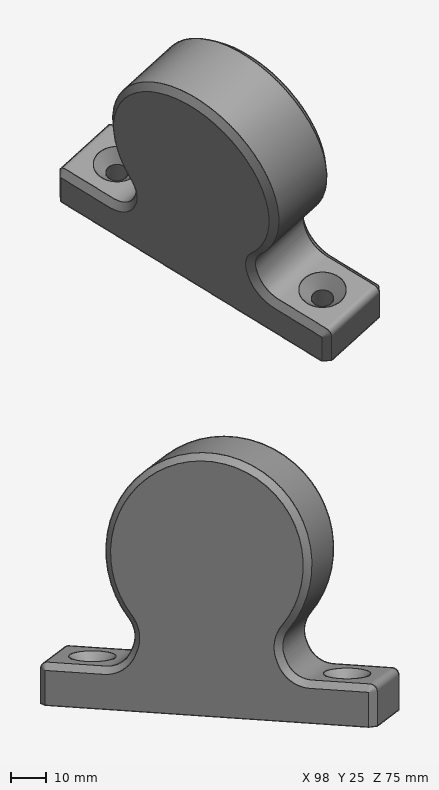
import cadquery as cq
import math

length = 98.0
thickness = 25.0
height = 75.0

disc_radius = 30.0
disc_height = height - disc_radius
base_height = 12.0

neck_radius = 8.0
neck_start = disc_radius
neck_contact_angle = math.radians(39)

end_round = 2.1
face_chamfer = 2.0

hole_offset = 37.0
hole_diameter = 6.2
countersink_diameter = 13.2
countersink_angle = 90


def polar(center, radius, angle):
    """Point (x, z) at a distance and direction from a centre."""
    return (center[0] + radius * math.cos(angle), center[1] + radius * math.sin(angle))


def mirrored(point):
    return (-point[0], point[1])


def make_profile():
    """Closed outline in the XZ plane, symmetric about X = 0."""
    disc_center = (0, disc_height)
    upper_center = polar(disc_center, disc_radius + neck_radius, -neck_contact_angle)
    lower_center = (neck_start, base_height + neck_radius)

    rise = upper_center[1] - lower_center[1]
    run = lower_center[0] - upper_center[0]
    straight_angle = math.pi + math.atan2(run, rise)
    contact_angle = math.pi - neck_contact_angle

    disc_end = polar(disc_center, disc_radius, -neck_contact_angle)
    upper_mid = polar(upper_center, neck_radius, (contact_angle + straight_angle) / 2)
    straight_top = polar(upper_center, neck_radius, straight_angle)
    straight_bottom = polar(lower_center, neck_radius, straight_angle)
    lower_mid = polar(lower_center, neck_radius, (straight_angle + 1.5 * math.pi) / 2)
    base_start = (neck_start, base_height)

    half_length = length / 2
    round_start = half_length - end_round
    round_center = (round_start, base_height - end_round)
    round_mid = polar(round_center, end_round, math.pi / 4)
    round_end = (half_length, base_height - end_round)

    return (
        cq.Workplane("XZ", origin=(0, thickness / 2, 0))
        .moveTo(-half_length, 0)
        .lineTo(half_length, 0)
        .lineTo(*round_end)
        .threePointArc(round_mid, (round_start, base_height))
        .lineTo(*base_start)
        .threePointArc(lower_mid, straight_bottom)
        .lineTo(*straight_top)
        .threePointArc(upper_mid, disc_end)
        .threePointArc((0, height), mirrored(disc_end))
        .threePointArc(mirrored(upper_mid), mirrored(straight_top))
        .lineTo(*mirrored(straight_bottom))
        .threePointArc(mirrored(lower_mid), mirrored(base_start))
        .lineTo(-round_start, base_height)
        .threePointArc(mirrored(round_mid), mirrored(round_end))
        .close()
    )


def chamfer_faces(body):
    """Bevel the outline on both broad faces, leaving the bottom edges sharp."""
    outline = body.faces("<Y or >Y").edges()
    bottom = body.faces("<Z").edges()
    return body.newObject(
        [edge for edge in outline.vals() if not any(edge.isSame(low) for low in bottom.vals())]
    ).chamfer(face_chamfer)


def drill_mounting_holes(body):
    return (
        body.copyWorkplane(cq.Workplane("XY", origin=(0, 0, base_height)))
        .pushPoints([(-hole_offset, 0), (hole_offset, 0)])
        .cskHole(hole_diameter, countersink_diameter, countersink_angle, depth=base_height)
    )


body = make_profile().extrude(thickness)
body = chamfer_faces(body)
result = drill_mounting_holes(body)